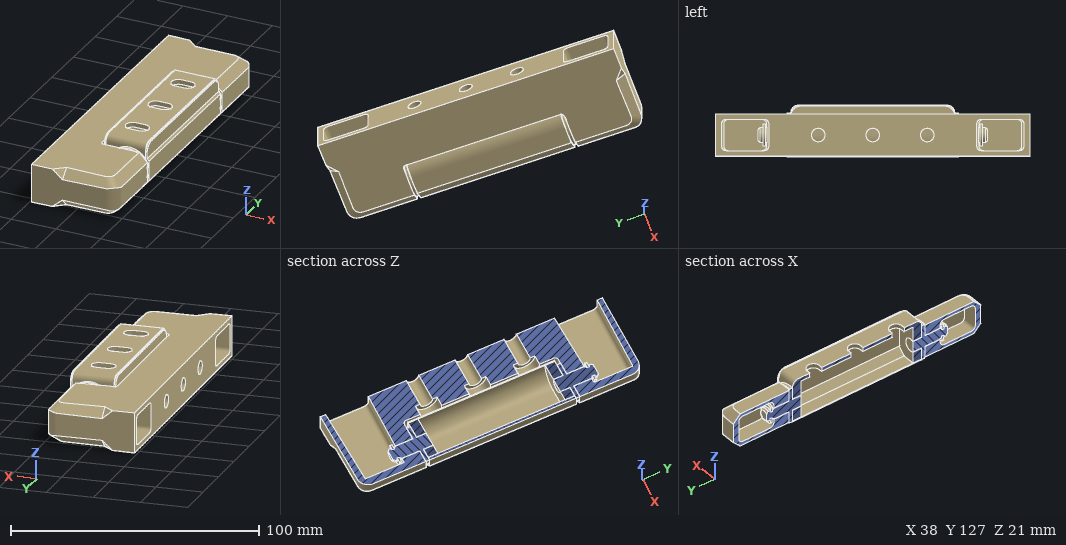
import cadquery as cq
import math

length = 127.0
depth = 38.0
housing_height = 17.1
draft_angle = 0.5
corner_radius = 5.0
edge_chamfer = 4.1
chamfer_start = 9.1
chamfer_run_in = 4.7
nose_half_height = housing_height / 2 - edge_chamfer

pivot_radius = 8.9
pivot_x = depth - pivot_radius
recess_width = 69.0
recess_wall_x = 17.0
recess_corner_radius = 1.3

pocket_inner_y = 41.9
pocket_outer_y = 61.0
pocket_height = 12.7
pocket_depth = 34.3
pocket_side_draft = 0.9
pocket_fillet = 1.9

mount_pitch = 22.0
mount_diameter = 5.5
counterbore_diameter = 9.5
counterbore_floor_x = 12.7

cassette_length = 66.2
cassette_end = cassette_length / 2
tray_wall = 0.6
tray_left = 17.9
tray_right = 37.1
tray_top = 11.7
tray_bottom = -pivot_radius
tray_bend = 8.4
tray_end_radius = 4.1
nose_sum = depth + nose_half_height
cover_top = 12.1
cover_end_radius = 3.2
cover_thickness = 2.2
cover_end_wall = 4.6

slot_pitch = 21.1
slot_length = 10.2
slot_width = 6.0
slot_x = 26.9

pin_diameter = 6.1
pin_tip_y = 46.2
pin_tip_chamfer = 0.8
groove_diameter = 4.8
ring_diameter = 9.0
ring_thickness = 1.0
ring_inner_y = 43.3

SIDES = (-1, 1)
clear = 6.4


def slab():
    """Drafted block with sharp edges."""
    return cq.Workplane("YZ").rect(length, housing_height).extrude(depth, taper=draft_angle)


def chamfer_roof():
    """Upper half of the 45 degree envelope around the ends and nose, mitres rounded."""
    far_back = 2 * depth
    nose_x = depth + nose_half_height
    half_y = length / 2 + nose_half_height
    return (
        cq.Workplane("XY")
        .center((nose_x - far_back) / 2, 0)
        .rect(nose_x + far_back, 2 * half_y)
        .extrude(housing_height, taper=45)
        .edges("not #Z")
        .edges(">X")
        .fillet(corner_radius)
    )


def end_chamfer_cutter(y_side, z_side):
    """Prism along one long end edge: full 45 degree chamfer with a sloping run-in."""
    normal = cq.Vector(0, y_side, z_side).normalized()
    edge_plane = cq.Plane(
        origin=(0, y_side * length / 2, z_side * housing_height / 2),
        xDir=(1, 0, 0),
        normal=cq.Vector(1, 0, 0).cross(normal).toTuple(),
    )
    bite = edge_chamfer / math.sqrt(2)
    return (
        cq.Workplane(edge_plane)
        .polyline([
            (chamfer_start, 0),
            (chamfer_start + chamfer_run_in, -bite),
            (depth, -bite),
            (depth, clear),
            (chamfer_start, clear),
        ])
        .close()
        .extrude(length / 10, both=True)
    )


def chamfered_block():
    """Slab chamfered around its ends and nose, left full near the mounting face."""
    full = slab()
    roof = chamfer_roof()
    nose = full.faces(">X").edges("|Z").fillet(corner_radius)
    nose = nose.intersect(roof.union(roof.mirror("XY")))
    root = full.intersect(
        cq.Workplane("YZ").rect(2 * length, length).extrude(chamfer_start + chamfer_run_in)
    )
    for y_side in SIDES:
        for z_side in SIDES:
            root = root.cut(end_chamfer_cutter(y_side, z_side))
    return nose.union(root)


def recess():
    """Space for the cassette: upright wall above the pivot, round about it below."""
    radius = pivot_x - recess_wall_x
    half_angle = math.radians(45)
    return (
        cq.Workplane("XZ")
        .moveTo(recess_wall_x, housing_height)
        .lineTo(recess_wall_x, 0)
        .threePointArc(
            (pivot_x - radius * math.cos(half_angle), -radius * math.sin(half_angle)),
            (pivot_x, -radius),
        )
        .lineTo(depth + clear, -radius)
        .lineTo(depth + clear, housing_height)
        .close()
        .extrude(recess_width / 2, both=True)
        .edges("|Z and <X")
        .fillet(recess_corner_radius)
    )


def pocket(side):
    """Rounded pocket open at the mounting face, its sides drawing in with depth."""
    return (
        cq.Workplane("XY")
        .polyline([
            (0, side * pocket_inner_y),
            (pocket_depth, side * (pocket_inner_y + pocket_side_draft)),
            (pocket_depth, side * (pocket_outer_y - pocket_side_draft)),
            (0, side * pocket_outer_y),
        ])
        .close()
        .extrude(pocket_height / 2, both=True)
        .edges("not (|Z or |Y)")
        .fillet(pocket_fillet)
    )


def cylinder_y(diameter, y_from, y_to):
    """Cylinder on the pivot axis between two Y positions."""
    base = cq.Workplane("XZ", origin=(pivot_x, y_from, 0))
    return base.circle(diameter / 2).extrude(y_from - y_to)


def cylinder_x(diameter, y, x_from, x_to):
    """Cylinder along X at mid height between two X positions."""
    base = cq.Workplane("YZ", origin=(x_from, y, 0))
    return base.circle(diameter / 2).extrude(x_to - x_from)


def make_housing():
    """Block with the cassette recess, pin pockets and counterbored mounting holes."""
    housing = chamfered_block().cut(recess())
    for side in SIDES:
        housing = housing.cut(pocket(side))
        housing = housing.cut(cylinder_y(pin_diameter, 0, side * pin_tip_y))
    for i in (-1, 0, 1):
        y = i * mount_pitch
        housing = housing.cut(cylinder_x(mount_diameter, y, 0, pivot_x))
        housing = housing.cut(cylinder_x(counterbore_diameter, y, counterbore_floor_x, pivot_x))
    return housing


def bent_outline(inset, top):
    """Start of a cassette cross-section: left wall and lower bend, ending on the floor."""
    bend = tray_bend - inset
    centre_x = tray_left + tray_bend
    centre_z = tray_bottom + tray_bend
    half_angle = math.radians(45)
    return (
        cq.Workplane("XZ")
        .moveTo(tray_left + inset, top)
        .lineTo(tray_left + inset, centre_z)
        .threePointArc(
            (centre_x - bend * math.cos(half_angle), centre_z - bend * math.sin(half_angle)),
            (centre_x, tray_bottom + inset),
        )
    )


def cassette_core(half_length):
    """Prism that fills the inside of the tray and rises to the top of the cover."""
    floor = tray_bottom + tray_wall
    right = tray_right - tray_wall
    flank_sum = nose_sum - tray_wall * math.sqrt(2)
    return (
        bent_outline(tray_wall, cover_top)
        .lineTo(flank_sum + floor, floor)
        .lineTo(right, right - flank_sum)
        .lineTo(right, cover_top)
        .close()
        .extrude(half_length, both=True)
    )


def make_tray():
    """Thin trough with a 45 degree nose matching the housing."""
    tray = (
        bent_outline(0, tray_top)
        .lineTo(nose_sum + tray_bottom, tray_bottom)
        .lineTo(depth, -nose_half_height)
        .lineTo(depth, nose_half_height)
        .lineTo(tray_right, nose_sum - tray_right)
        .lineTo(tray_right, tray_top)
        .close()
        .extrude(cassette_end, both=True)
    )
    rounded = tray.faces(">Z").edges("|X").fillet(tray_end_radius)
    return rounded.cut(cassette_core(cassette_end))


def make_cover():
    """Slotted lid with an end wall at each side that carries a pivot pin."""
    cover = cassette_core(cassette_end).faces(">Z").edges("|X").fillet(cover_end_radius)
    below_lid = cq.Workplane("XY", origin=(0, 0, cover_top - cover_thickness)).rect(
        4 * depth, length
    ).extrude(-length)
    cover = cover.cut(cassette_core(cassette_end - cover_end_wall).intersect(below_lid))
    slots = (
        cq.Workplane("XY", origin=(slot_x, 0, cover_top - cover_thickness))
        .rarray(1.3, slot_pitch, 1, 3)
        .slot2D(slot_length, slot_width)
        .extrude(2 * cover_thickness)
    )
    cover = cover.cut(slots)
    for side in SIDES:
        cover = cover.cut(cylinder_y(pin_diameter, 0, side * cassette_end))
    return cover


def make_pin(side):
    """Pivot pin with a wide flange between cassette and housing and a ring groove."""
    shank = cylinder_y(pin_diameter, side * (cassette_end - cover_end_wall), side * pin_tip_y)
    shank = shank.faces(">Y" if side > 0 else "<Y").chamfer(pin_tip_chamfer)
    flange = cylinder_y(2 * pivot_radius, side * cassette_end, side * recess_width / 2)
    return shank.union(flange).cut(make_ring(side))


def make_ring(side):
    """Retaining ring seated in the pin groove."""
    inner_y = side * ring_inner_y
    outer_y = side * (ring_inner_y + ring_thickness)
    return cylinder_y(ring_diameter, inner_y, outer_y).cut(
        cylinder_y(groove_diameter, inner_y, outer_y)
    )


housing = make_housing()
tray = make_tray()
cover = make_cover()
pins = [make_pin(side) for side in SIDES]
rings = [make_ring(side) for side in SIDES]

result = cq.Compound.makeCompound([
    housing.val(),
    tray.val(),
    cover.val(),
    *[pin.val() for pin in pins],
    *[ring.val() for ring in rings],
])